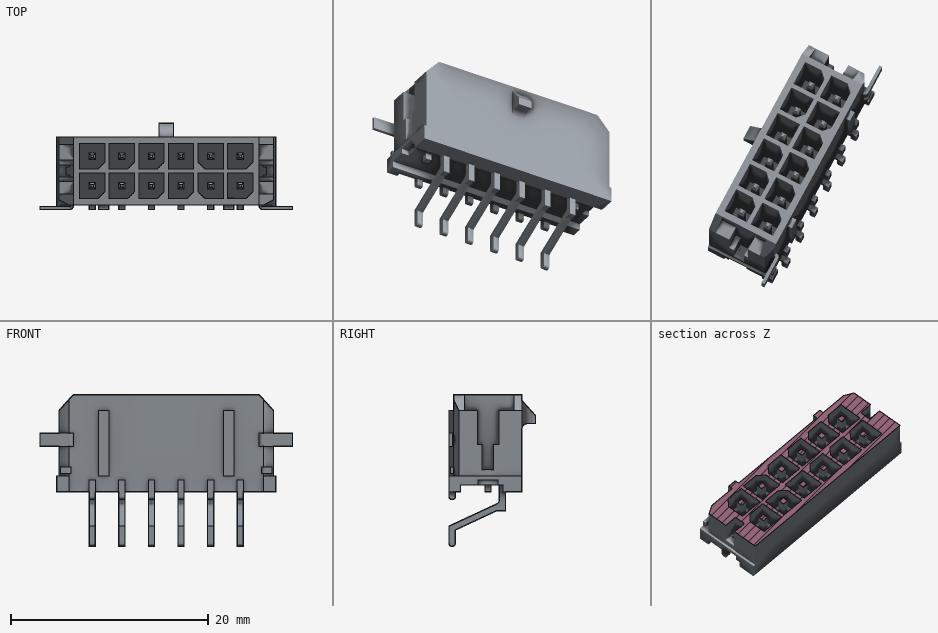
import cadquery as cq
import math


columns = 6
pitch = 3.0
pin_width = 0.65
row_front = 1.95
row_back = row_front + pitch
row_depths = (row_front, row_back)
column_places = [(i - (columns - 1) / 2) * pitch for i in range(columns)]

housing_length = 21.75
housing_depth = 6.93
housing_height = 9.88
bevel_length = 1.0
bevel_depth = 0.55
proud = 0.45
end_wall = 9.41
shoulder_height = 8.25

flange_length = 22.21
flange_height = 1.62
flange_block_length = 1.23
tunnel_height = 0.7
tunnel_front = 0.72
tunnel_back = 5.03
notch_front = 2.5
notch_back = 4.51
notch_height = 1.23
notch_length = 0.77

end_channels = (
    (1.1, 6.13, shoulder_height),
    (2.4, 4.6, 4.8),
    (2.87, 4.05, 2.25),
)
pocket_depth = 0.51
pocket_step = 0.4
pocket_tongue = 0.33
tongue_width = 0.77

cell_width = 2.56
cell_key = 0.7
cell_floor = 2.05
pin_top = 7.45
pin_tip_height = 0.38
pin_tip_width = 0.25
KEY_LEFT = "left"
KEY_RIGHT = "right"
front_keys = (KEY_RIGHT, KEY_RIGHT, KEY_RIGHT, KEY_RIGHT, KEY_LEFT, KEY_RIGHT)
back_keys = (KEY_RIGHT, KEY_RIGHT, KEY_RIGHT, None, KEY_LEFT, KEY_RIGHT)

rib_place = 6.34
rib_width = 1.03

latch_width = 1.5
latch_reach = 8.3
latch_top = 9.29
latch_tip_top = 7.75
latch_bottom = 6.93
latch_root_radius = 0.6

tail_round = 0.25
front_tail_top = 1.23
front_tail_bottom = -0.77
elbow_bottom = -1.92
elbow_round = 0.4
slant_angle = math.radians(25)
slant_end = -3.45
back_tail_bottom = -5.51

strip_thickness = 0.33
strip_bend_radius = 0.38
strip_embed = 0.51
nail_outer = 12.82
nail_inner = end_wall
nail_bottom = 4.62
nail_top = 5.95
clip_outer = 10.75
clip_inner = 9.65
clip_bottom = 1.85
clip_top = 2.55

peg_place = 8.72
peg_front = 3.18


def block(x0, x1, y0, y1, z0, z1):
    """Box between two opposite corners."""
    return cq.Workplane("XY").box(x1 - x0, y1 - y0, z1 - z0, centered=False).translate((x0, y0, z0))


def both_ends(shape):
    """The shape together with its mirror image at the other end of the part."""
    return shape.union(shape.mirror("YZ"))


def side_profile(points, x, width):
    """Outline of (Y, Z) points extruded along X and centred on x."""
    return cq.Workplane("YZ").polyline(points).close().extrude(width / 2, both=True).translate((x, 0, 0))


def make_shell():
    half = housing_length / 2
    outline = [
        (-half, 0),
        (half, 0),
        (half, shoulder_height),
        (end_wall, housing_height),
        (-end_wall, housing_height),
        (-half, shoulder_height),
    ]
    shell = cq.Workplane("XZ").polyline(outline).close().extrude(-housing_depth)
    bevel = (
        cq.Workplane("XY")
        .polyline([(-half, 0), (-half + bevel_length, 0), (-half, bevel_depth)])
        .close()
        .extrude(housing_height)
    )
    return shell.cut(both_ends(bevel))


def make_flange():
    half = flange_length / 2
    flange = block(-half, half, 0, housing_depth, 0, flange_height)
    foot = block(-half, -half + flange_block_length, -proud, tunnel_front, 0, flange_height)
    return flange.union(both_ends(foot))


def make_underside_cut():
    half = flange_length / 2
    tunnel = block(-half, half, tunnel_front, tunnel_back, 0, tunnel_height)
    notch = block(-half, -half + notch_length, notch_front, notch_back, 0, notch_height)
    return tunnel.union(both_ends(notch))


def make_end_cut():
    half = flange_length / 2
    cut = cq.Workplane("XY")
    for front, back, bottom in end_channels:
        cut = cut.union(block(-half, -end_wall, front, back, bottom, housing_height))

    front, back, floor = end_channels[-1]
    middle = (front + back) / 2
    pocket_bottom = floor - pocket_depth
    stem_edge = -end_wall - pocket_step
    wide = block(stem_edge, -end_wall, front, back, pocket_bottom, floor)
    tongue = block(
        stem_edge - pocket_tongue,
        stem_edge,
        middle - tongue_width / 2,
        middle + tongue_width / 2,
        pocket_bottom,
        floor,
    )
    return both_ends(cut.union(wide).union(tongue))


def make_cell(x, y, key):
    """Square mating cell, with one front corner cut off as a key."""
    height = housing_height - cell_floor
    cell = cq.Workplane("XY").rect(cell_width, cell_width).extrude(height)
    if key == KEY_LEFT:
        cell = cell.edges("|Z and <X and <Y").chamfer(cell_key)
    elif key == KEY_RIGHT:
        cell = cell.edges("|Z and >X and <Y").chamfer(cell_key)
    return cell.translate((x, y, cell_floor))


def make_contact_post(x, y):
    """Square post standing in a cell, with a pyramid tip."""
    shank_top = pin_top - pin_tip_height
    shank = cq.Workplane("XY").rect(pin_width, pin_width).extrude(shank_top - tunnel_height)
    tip = (
        cq.Workplane("XY")
        .rect(pin_width, pin_width)
        .workplane(offset=pin_tip_height)
        .rect(pin_tip_width, pin_tip_width)
        .loft()
        .translate((0, 0, shank_top - tunnel_height))
    )
    return shank.union(tip).translate((x, y, tunnel_height))


def make_front_tail(x):
    """Tail running forward from the front row and down in front of the housing."""
    inner = -proud + pin_width
    points = [
        (row_front + pin_width / 2, front_tail_top),
        (-proud, front_tail_top),
        (-proud, front_tail_bottom),
        (inner, front_tail_bottom),
        (inner, tunnel_height),
        (row_front + pin_width / 2, tunnel_height),
    ]
    return side_profile(points, x, pin_width).faces("<Z").edges("|X").fillet(tail_round)


def make_back_tail(x):
    """Tail running down from the back row, slanting forward and down again."""
    rear = row_back + pin_width / 2
    front = row_back - pin_width / 2
    inner = -proud + pin_width
    slope = math.tan(slant_angle)
    slant_drop = pin_width / math.cos(slant_angle)
    slant_start = slant_end + (front + proud) * slope
    inner_top = slant_end + pin_width * slope - slant_drop
    elbow_edge = inner + (elbow_bottom - inner_top) / slope
    points = [
        (rear, cell_floor),
        (rear, elbow_bottom),
        (elbow_edge, elbow_bottom),
        (inner, inner_top),
        (inner, back_tail_bottom),
        (-proud, back_tail_bottom),
        (-proud, slant_end),
        (front, slant_start),
        (front, cell_floor),
    ]
    tail = side_profile(points, x, pin_width).faces("<Z").edges("|X").fillet(tail_round)
    elbow_corner = cq.selectors.NearestToPointSelector((x, front, slant_start))
    return tail.edges("|X").edges(elbow_corner).fillet(elbow_round)


def make_bent_strip(outer, inner, front, bottom, top):
    """Strip lying along the front, with its inner end bent back into the housing; one at each end."""
    arm = block(-outer, -inner, front, front + strip_thickness, bottom, top)
    leg = block(-inner - strip_thickness, -inner, front, strip_embed, bottom, top)
    strip = arm.union(leg).edges("|Z and >X and <Y").fillet(strip_bend_radius)
    return both_ends(strip)


def make_latch():
    return (
        cq.Workplane("YZ")
        .moveTo(housing_depth, latch_top)
        .lineTo(latch_reach, latch_tip_top)
        .lineTo(latch_reach, latch_bottom)
        .lineTo(housing_depth + latch_root_radius, latch_bottom)
        .radiusArc((housing_depth, latch_bottom - latch_root_radius), -latch_root_radius)
        .close()
        .extrude(latch_width / 2, both=True)
    )


def make_rib():
    edge = rib_place - rib_width / 2
    return block(edge, edge + rib_width, -proud, tunnel_front, flange_height, shoulder_height)


def make_peg():
    edge = peg_place - pin_width / 2
    return block(edge, edge + pin_width, peg_front, peg_front + pin_width, 0, notch_height)


housing = make_shell().union(make_flange()).cut(make_underside_cut()).cut(make_end_cut())
for y, keys in zip(row_depths, (front_keys, back_keys)):
    for x, key in zip(column_places, keys):
        housing = housing.cut(make_cell(x, y, key))
housing = housing.union(make_latch()).union(both_ends(make_rib())).union(both_ends(make_peg()))

for x in column_places:
    for y in row_depths:
        housing = housing.union(make_contact_post(x, y))
    housing = housing.union(make_front_tail(x)).union(make_back_tail(x))

nails = make_bent_strip(nail_outer, nail_inner, -proud, nail_bottom, nail_top)
clips = make_bent_strip(clip_outer, clip_inner, -strip_thickness, clip_bottom, clip_top)

result = housing.union(nails).union(clips)